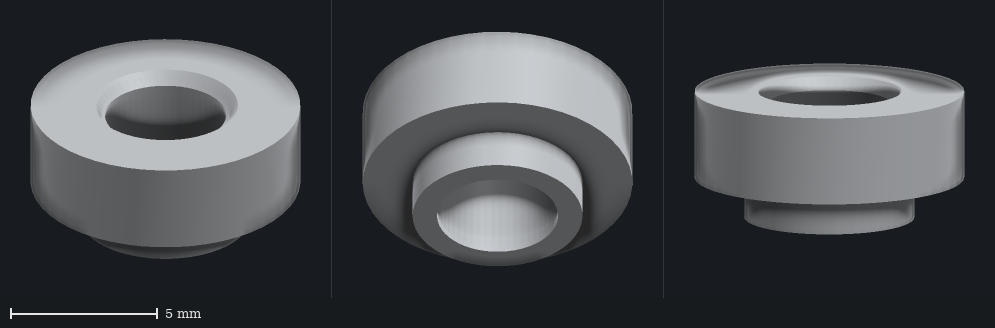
import cadquery as cq

flange_diameter = 9.2
flange_height = 3.0
spigot_diameter = 5.8
spigot_height = 1.4
bore_diameter = 4.13
bore_chamfer = 0.405

total_height = spigot_height + flange_height

spigot = cq.Workplane("XY").circle(spigot_diameter / 2).extrude(spigot_height)
flange = (
    cq.Workplane("XY", origin=(0, 0, spigot_height))
    .circle(flange_diameter / 2)
    .extrude(flange_height)
)
body = spigot.union(flange)

bore = cq.Workplane("XY").circle(bore_diameter / 2).extrude(total_height)
lead_in = cq.Workplane("XY").add(
    cq.Solid.makeCone(
        bore_diameter / 2,
        bore_diameter / 2 + bore_chamfer,
        bore_chamfer,
        pnt=cq.Vector(0, 0, total_height - bore_chamfer),
    )
)

result = body.cut(bore).cut(lead_in)